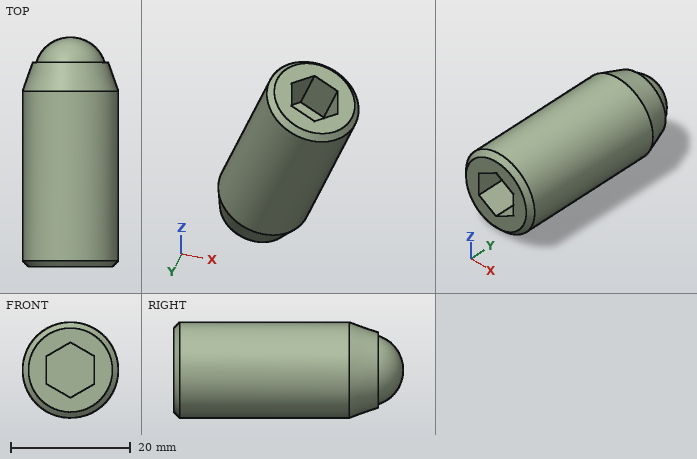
import cadquery as cq
import math

body_diameter = 16.0
body_length = 34.1
cone_length = 4.8
nose_diameter = 12.6
end_chamfer = 1.0

socket_across_flats = 8.0
socket_depth = 8.0

ball_diameter = 12.0
overall_length = 38.3

body_radius = body_diameter / 2
nose_radius = nose_diameter / 2
ball_radius = ball_diameter / 2
ball_center_y = overall_length - ball_radius


def make_ball():
    return cq.Workplane("XY").sphere(ball_radius).translate((0, ball_center_y, 0))


def make_socket():
    across_corners = socket_across_flats / math.cos(math.pi / 6)
    return (
        cq.Workplane("XZ")
        .transformed(rotate=(0, 0, 90))
        .polygon(6, across_corners)
        .extrude(-socket_depth)
    )


def make_screw_body():
    half_profile = [
        (0, 0),
        (body_radius - end_chamfer, 0),
        (body_radius, end_chamfer),
        (body_radius, body_length - cone_length),
        (nose_radius, body_length),
        (0, body_length),
    ]
    blank = cq.Workplane("XY").polyline(half_profile).close().revolve(360, (0, 0, 0), (0, 1, 0))
    return blank.cut(make_socket()).cut(make_ball())


screw_body = make_screw_body()
ball = make_ball()

result = cq.Compound.makeCompound([screw_body.solids().val(), ball.val()])